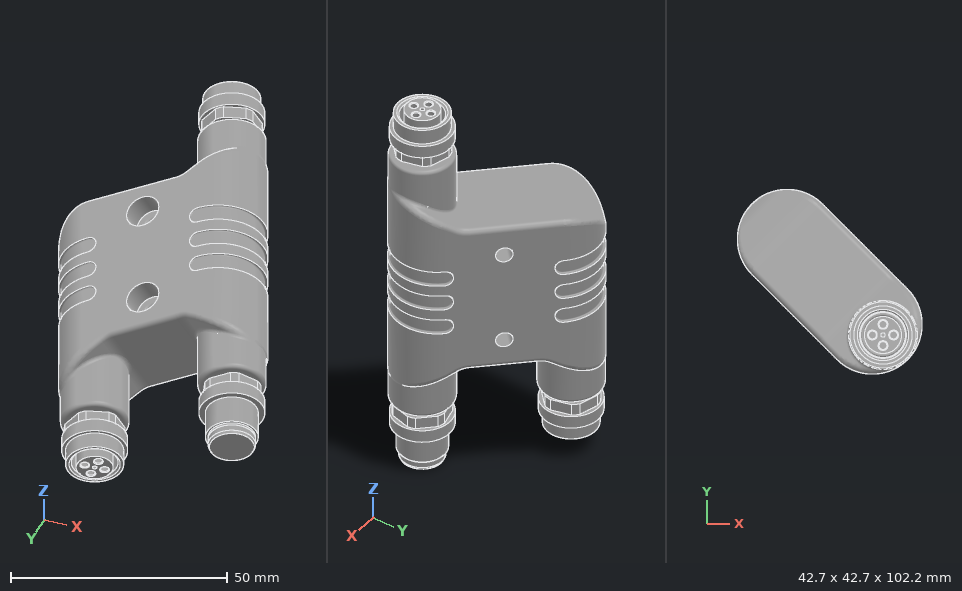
import cadquery as cq
import math

housing_turn = -45

end_radius = 11.5
end_center = 13.94
corner_radius = 11.6
outline_margin = 0.05
outline_half_length = end_center + end_radius + outline_margin
top_z = 23.1
bottom_z = -18.1
edge_fillet = 1.5

slope_angle = 30
slope_start = 8.2
slope_blend_radius = 5.1
tip_radius = 0.5

post_offset = 17.41
post_radius = 8.0
post_top = 38.7
post_bottom = -33.7
upper_female_end = (post_offset, post_top)
lower_female_end = (-post_offset, post_bottom)
male_end = (post_offset, post_bottom)
female_ends = (upper_female_end, lower_female_end)
post_ends = (*female_ends, male_end)
post_end_fillet = 1.0
post_root_fillet = 0.9

groove_count = 3
groove_width = 4.1
groove_pitch = 7.0
groove_middle_z = 2.6
groove_depth = 0.6
groove_floor_fillet = 0.3

screw_heights = (15.0, -10.0)
screw_radius = 2.0
screw_head_radius = 4.1
screw_head_depth = 5.8
screw_edge_fillet = 0.8

neck_radius = 4.9
socket_depth = 2.0
hex_start = 1.0
flange_start = 4.1
barrel_start = 7.5
hex_flats = 13.1
hex_corner_radius = 7.0
flange_radius = 7.7

female_barrel_radius = 6.7
female_barrel_end = 11.4
female_bore_radius = 5.4
female_bore_chamfer = 0.5
female_core_radius = 4.3
female_core_end = 12.4

male_barrel_radius = 6.1
male_barrel_end = 14.5
male_lip_radius = 5.5
male_lip_end = 15.1
male_taper_start = 16.6
male_core_end = 17.4
male_taper = 0.3

contact_count = 4
contact_circle_radius = 2.5
contact_radius = 0.9
contact_chamfer = 0.2
contact_depth = 4.1
center_contact_radius = 0.5

seal_section_radius = 0.46

female_nut_turn = 0
male_nut_turn = -90
core_turn = 225

tolerance = 0.01
edge_samples = (0, 0.3, 0.7, 1)


def stadium(radius, z_low, z_high):
    """Upright bar with two round ends centred at plus and minus end_center."""
    length = 2 * (end_center + radius)
    return cq.Workplane("XY", origin=(0, 0, z_low)).slot2D(length, 2 * radius).extrude(z_high - z_low)


def arc_point(center, radius, degrees):
    angle = math.radians(degrees)
    return (center[0] + radius * math.cos(angle), center[1] + radius * math.sin(angle))


def shoulder_half(z_edge, outwards):
    """Right-hand shoulder: flat edge, concave blend, straight slope and rounded tip.

    outwards is 1 for a shoulder that rises from the top edge, -1 for one below the bottom edge.
    Returns the points from the flat edge to the tip, as (x, z).
    """
    angle = math.radians(slope_angle)
    blend_center = (slope_start, slope_blend_radius)
    blend_mid = arc_point(blend_center, slope_blend_radius, slope_angle / 2 - 90)
    blend_end = arc_point(blend_center, slope_blend_radius, slope_angle - 90)
    tip_x = outline_half_length - tip_radius
    slope_end_x = tip_x - tip_radius * math.sin(angle)
    slope_end_z = blend_end[1] + (slope_end_x - blend_end[0]) * math.tan(angle)
    tip_center = (tip_x, slope_end_z - tip_radius * math.cos(angle))
    tip_mid = arc_point(tip_center, tip_radius, (90 + slope_angle) / 2)
    tip_end = (outline_half_length, tip_center[1])
    points = [(slope_start, 0), blend_mid, blend_end, (slope_end_x, slope_end_z), tip_mid, tip_end]
    return [(x, z_edge + outwards * rise) for x, rise in points]


def mirrored(points):
    return [(-x, z) for x, z in points]


def shoulder_up(outline, points):
    """Draw a shoulder from its flat edge to its tip."""
    edge, blend_mid, blend_end, slope_end, tip_mid, tip_end = points
    outline = outline.lineTo(*edge).threePointArc(blend_mid, blend_end)
    return outline.lineTo(*slope_end).threePointArc(tip_mid, tip_end)


def shoulder_down(outline, points):
    """Draw a shoulder from its tip back to its flat edge."""
    edge, blend_mid, blend_end, slope_end, tip_mid, tip_end = points
    outline = outline.lineTo(*tip_end).threePointArc(tip_mid, slope_end)
    return outline.lineTo(*blend_end).threePointArc(blend_mid, edge)


def side_profile():
    """Face outline of the housing, extruded through the whole thickness."""
    top_shoulder = shoulder_half(top_z, 1)
    bottom_shoulder = shoulder_half(bottom_z, -1)
    corner_center = (corner_radius - outline_half_length, top_z - corner_radius)

    outline = cq.Workplane("XZ", origin=(0, end_radius, 0)).moveTo(corner_center[0], top_z)
    outline = shoulder_up(outline, top_shoulder)
    outline = shoulder_down(outline, bottom_shoulder)
    outline = shoulder_up(outline, mirrored(bottom_shoulder))
    outline = outline.lineTo(-outline_half_length, corner_center[1])
    outline = outline.threePointArc(arc_point(corner_center, corner_radius, 135), (corner_center[0], top_z))
    return outline.close().extrude(2 * end_radius)


def is_upright(edge):
    box = edge.BoundingBox()
    return box.xlen < tolerance and box.ylen < tolerance


def is_rim_edge(edge):
    """True for edges that run around the top or bottom rim: neither upright nor straight across."""
    box = edge.BoundingBox()
    across = box.xlen < tolerance and box.zlen < tolerance
    return not is_upright(edge) and not across


def housing_block():
    block = stadium(end_radius, post_bottom, post_top).intersect(side_profile())
    rim = [edge for edge in block.edges().vals() if is_rim_edge(edge)]
    return block.newObject(rim).fillet(edge_fillet)


def post(x, z_end):
    """Round post from the housing's middle to z_end, with a rounded outer rim."""
    bar = cq.Workplane("XY", origin=(x, 0, 0)).circle(post_radius).extrude(z_end)
    outer_face = ">Z" if z_end > 0 else "<Z"
    return bar.faces(outer_face).edges().fillet(post_end_fillet)


def is_root_edge(edge, post_x):
    """True for edges where a post's side runs out of the housing's shoulder."""
    box = edge.BoundingBox()
    inside_ends = post_bottom + 2 * post_end_fillet < box.zmin and box.zmax < post_top - 2 * post_end_fillet
    points = [edge.positionAt(fraction) for fraction in edge_samples]
    on_post = all(abs(math.hypot(p.x - post_x, p.y) - post_radius) < tolerance for p in points)
    return on_post and inside_ends and not is_upright(edge)


def add_post(body, x, z_end):
    """Join a post to the housing with a rounded inner corner."""
    body = body.union(post(x, z_end))
    root = [e for e in body.edges().vals() if is_root_edge(e, x) and e.Center().z * z_end > 0]
    return body.newObject(root).fillet(post_root_fillet)


def is_groove_floor_edge(edge):
    """True for edges around a groove's floor, except the upright lines across it."""
    points = [edge.positionAt(fraction) for fraction in edge_samples]
    floor_radius = end_radius - groove_depth
    on_floor = all(
        abs(math.hypot(max(abs(p.x) - end_center, 0), p.y) - floor_radius) < tolerance for p in points
    )
    return on_floor and not is_upright(edge)


def groove_cutter(z, side):
    """Round-ended groove that wraps one end of the housing, with a rounded floor edge."""
    z_low = z - groove_width
    z_high = z + groove_width
    outside = stadium(end_radius + groove_depth, z_low, z_high)
    skin = outside.cut(stadium(end_radius - groove_depth, z_low, z_high))
    reach = 2 * end_radius
    window = (
        cq.Workplane("XZ", origin=(side * (end_center + reach / 2), reach, z))
        .slot2D(reach + groove_width, groove_width)
        .extrude(2 * reach)
    )
    cutter = skin.intersect(window)
    floor_edges = [edge for edge in cutter.edges().vals() if is_groove_floor_edge(edge)]
    return cutter.newObject(floor_edges).fillet(groove_floor_fillet)


def screw_hole_cutter(z):
    """Counterbored hole, entered from the -Y face."""
    face = cq.Workplane("XZ", origin=(0, -end_radius, z))
    head = face.circle(screw_head_radius).extrude(-screw_head_depth)
    shank = face.circle(screw_radius).extrude(-2 * end_radius)
    hole = head.union(shank)
    floor = hole.faces(cq.selectors.NearestToPointSelector((0, screw_head_depth - end_radius, z)))
    floor_edge = floor.edges(cq.selectors.RadiusNthSelector(0))
    return floor_edge.fillet(screw_edge_fillet)


def neck_socket(x, z_end):
    """Recess in a post's end face that receives the connector core."""
    inwards = -socket_depth if z_end > 0 else socket_depth
    return cq.Workplane("XY", origin=(x, 0, z_end)).circle(neck_radius).extrude(inwards)


def make_housing():
    body = housing_block()
    for x, z_end in post_ends:
        body = add_post(body, x, z_end)
    for row in range(groove_count):
        z = groove_middle_z + (row - (groove_count - 1) / 2) * groove_pitch
        for side in (-1, 1):
            body = body.cut(groove_cutter(z, side))
    for z in screw_heights:
        body = body.cut(screw_hole_cutter(z))
    for x, z_end in post_ends:
        body = body.cut(neck_socket(x, z_end))
    return body


def cylinder(radius, z_low, z_high):
    return cq.Workplane("XY", origin=(0, 0, z_low)).circle(radius).extrude(z_high - z_low)


def nut_grip():
    """Hexagon with rounded corners, followed by the round flange."""
    hexagon = (
        cq.Workplane("XY", origin=(0, 0, hex_start))
        .polygon(6, hex_flats, circumscribed=True)
        .extrude(flange_start - hex_start)
    )
    hexagon = hexagon.intersect(cylinder(hex_corner_radius, hex_start, flange_start))
    return hexagon.union(cylinder(flange_radius, flange_start, barrel_start))


def make_female_nut():
    nut = nut_grip().union(cylinder(female_barrel_radius, barrel_start, female_barrel_end))
    nut = nut.cut(cylinder(neck_radius, hex_start, flange_start))
    nut = nut.cut(cylinder(female_bore_radius, flange_start, female_barrel_end))
    bore_mouth = nut.faces(">Z").edges(cq.selectors.RadiusNthSelector(0))
    return bore_mouth.chamfer(female_bore_chamfer)


def make_male_nut():
    nut = nut_grip()
    nut = nut.union(cylinder(male_barrel_radius, barrel_start, male_barrel_end))
    nut = nut.union(cylinder(male_lip_radius, male_barrel_end, male_lip_end))
    return nut.cut(cylinder(neck_radius, hex_start, male_lip_end))


def make_female_core():
    core = cylinder(neck_radius, -socket_depth, flange_start)
    core = core.union(cylinder(female_core_radius, flange_start, female_core_end))
    face = cq.Workplane("XY", origin=(0, 0, female_core_end))
    outer_contacts = face.polarArray(contact_circle_radius, 0, 360, contact_count)
    core = core.cut(outer_contacts.circle(contact_radius).extrude(-contact_depth))
    contact_rims = core.faces(">Z").edges(cq.selectors.RadiusNthSelector(0))
    core = contact_rims.chamfer(contact_chamfer)
    return core.cut(face.circle(center_contact_radius).extrude(-contact_depth))


def make_male_core():
    core = cylinder(neck_radius, -socket_depth, male_lip_end)
    tip = cylinder(male_lip_radius, male_lip_end, male_core_end)
    taper_length = male_core_end - male_taper_start
    tip = tip.faces(">Z").edges().chamfer(taper_length, male_taper)
    return core.union(tip)


def make_seal():
    """Ring that sits around the female core, on the shoulder of its neck."""
    ring_radius = female_core_radius + seal_section_radius
    ring = cq.Solid.makeTorus(ring_radius, seal_section_radius)
    return cq.Workplane(ring).translate((0, 0, flange_start + seal_section_radius))


def turn_to_final(body):
    return body.rotate((0, 0, 0), (0, 0, 1), housing_turn)


def place(body, post_end, turn):
    """Move a connector body, modelled pointing up from the origin, onto a post end."""
    x, z_end = post_end
    if z_end < 0:
        body = body.rotate((0, 0, 0), (1, 0, 0), 180)
    body = body.rotate((0, 0, 0), (0, 0, 1), turn).translate((x, 0, z_end))
    return turn_to_final(body)


housing = turn_to_final(make_housing())

female_nuts = [place(make_female_nut(), end, female_nut_turn) for end in female_ends]
female_cores = [place(make_female_core(), end, core_turn) for end in female_ends]
male_nut = place(make_male_nut(), male_end, male_nut_turn)
male_core = place(make_male_core(), male_end, core_turn)
seal = place(make_seal(), upper_female_end, core_turn)

bodies = [housing, *female_nuts, *female_cores, male_nut, male_core, seal]
result = cq.Compound.makeCompound([body.val() for body in bodies])